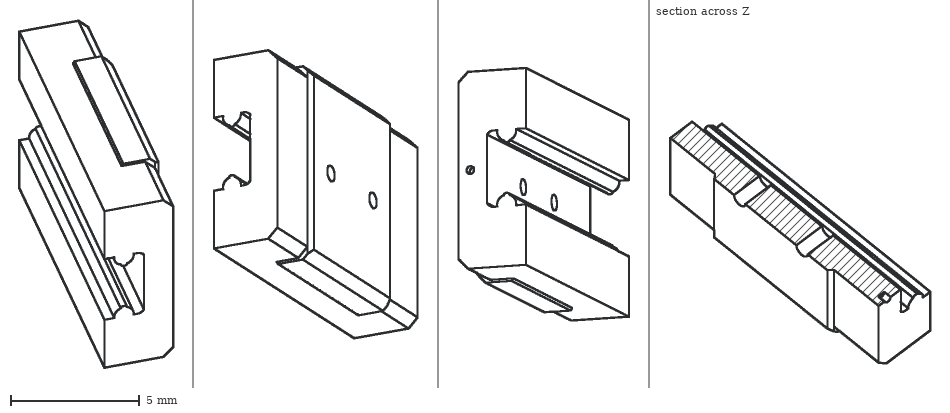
import cadquery as cq
import math

LENGTH = 11.7
BODY_HEIGHT = 7.8
BODY_DEPTH = 2.8
CHAMFER = 0.4

TOTAL_DEPTH = 3.0
TOTAL_HEIGHT = 8.0
CAP_LENGTH = 6.68
CAP_FRONT = 1.44
CAP_LIP_SLOPE = 0.07
CAP_END_CHAMFER_X = 0.16

CHANNEL_DEPTH = 1.6
CHANNEL_HEIGHT = 3.02
CORNER_RADIUS = 0.3
CORNER_DROP = 0.15

RIDGE_Y = 0.8
LOBE_RADIUS = 0.4
LOBE_RISE = 0.05
TIP_RADIUS = 0.14
RIDGE_HEIGHT = 0.51

MOUNT_HOLE_DIAMETER = 0.62
MOUNT_HOLE_SPACING = 3.5
END_HOLE_DIAMETER = 0.3
END_HOLE_Y = 2.3
END_HOLE_DEPTH = 0.35


def bar_along_x(profile, length):
    """Extrude a YZ profile symmetrically about the middle of the block."""
    return profile.extrude(length / 2, both=True)


def make_body():
    block = cq.Workplane("XY").box(LENGTH, BODY_DEPTH, BODY_HEIGHT, centered=(True, False, True))
    return block.faces(">Y").edges("|X").chamfer(CHAMFER)


def make_cap():
    half = TOTAL_HEIGHT / 2
    upper = [
        (CAP_FRONT, BODY_HEIGHT / 2),
        (CAP_FRONT + CAP_LIP_SLOPE, half),
        (TOTAL_DEPTH - CHAMFER, half),
        (TOTAL_DEPTH, half - CHAMFER),
    ]
    lower = [(y, -z) for y, z in reversed(upper)]
    cap = bar_along_x(cq.Workplane("YZ").polyline(upper + lower).close(), CAP_LENGTH)
    outline = (
        cq.Workplane("XY")
        .moveTo(-CAP_LENGTH / 2, 0)
        .lineTo(CAP_LENGTH / 2, 0)
        .lineTo(CAP_LENGTH / 2, BODY_DEPTH)
        .lineTo(CAP_LENGTH / 2 - CAP_END_CHAMFER_X, TOTAL_DEPTH)
        .lineTo(CAP_END_CHAMFER_X - CAP_LENGTH / 2, TOTAL_DEPTH)
        .lineTo(-CAP_LENGTH / 2, BODY_DEPTH)
        .close()
        .extrude(half, both=True)
    )
    return cap.intersect(outline)


def make_channel():
    """Channel cutter whose inner corners are arcs tangent to the channel walls."""
    wall = CHANNEL_HEIGHT / 2
    sweep = math.acos(1 - CORNER_DROP / CORNER_RADIUS)
    arc_start = CHANNEL_DEPTH - CORNER_RADIUS * math.sin(sweep)
    arc_mid_y = arc_start + CORNER_RADIUS * math.sin(sweep / 2)
    arc_mid_z = wall - CORNER_RADIUS * (1 - math.cos(sweep / 2))
    floor_end = wall - CORNER_DROP
    profile = (
        cq.Workplane("YZ")
        .moveTo(0, wall)
        .lineTo(arc_start, wall)
        .threePointArc((arc_mid_y, arc_mid_z), (CHANNEL_DEPTH, floor_end))
        .lineTo(CHANNEL_DEPTH, -floor_end)
        .threePointArc((arc_mid_y, -arc_mid_z), (arc_start, -wall))
        .lineTo(0, -wall)
        .close()
    )
    return bar_along_x(profile, LENGTH)


def make_ridge(side):
    """Raceway ridge on the upper (side = 1) or lower (side = -1) channel wall."""
    wall = CHANNEL_HEIGHT / 2
    lobe_z = side * (wall - LOBE_RISE)
    tip_z = side * (wall - RIDGE_HEIGHT + TIP_RADIUS)
    lobe = bar_along_x(cq.Workplane("YZ").center(RIDGE_Y, lobe_z).circle(LOBE_RADIUS), LENGTH)
    tip = bar_along_x(cq.Workplane("YZ").center(RIDGE_Y, tip_z).circle(TIP_RADIUS), LENGTH)
    return lobe.union(tip)


def make_mount_holes():
    """Two holes through the web between the channel floor and the back."""
    centres = [(-MOUNT_HOLE_SPACING / 2, 0), (MOUNT_HOLE_SPACING / 2, 0)]
    return (
        cq.Workplane("XZ")
        .pushPoints(centres)
        .circle(MOUNT_HOLE_DIAMETER / 2)
        .extrude(-TOTAL_DEPTH)
    )


def make_end_hole():
    """Small blind hole in the -X end face."""
    return (
        cq.Workplane("YZ", origin=(-LENGTH / 2, END_HOLE_Y, 0))
        .circle(END_HOLE_DIAMETER / 2)
        .extrude(END_HOLE_DEPTH)
    )


result = make_body().union(make_cap()).cut(make_channel())
for wall_side in (1, -1):
    result = result.union(make_ridge(wall_side))
result = result.cut(make_mount_holes()).cut(make_end_hole())